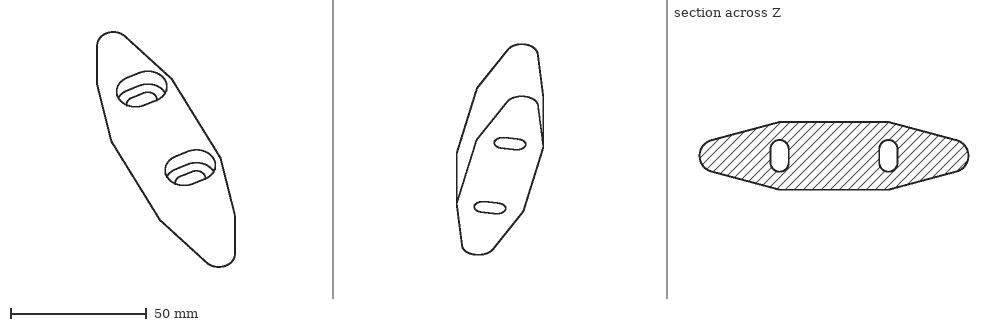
import cadquery as cq
import math

width = 25.0
height = 25.0
end_radius = 6.0
taper_angle = 15.0
shoulder_radius = 1.0
top_fillet = 2.0

slot_spacing = 40.0
slot_travel = 5.0
slot_width = 6.6
counterbore_width = 14.0
counterbore_depth = 8.0

taper = math.radians(taper_angle)
shoulder_x = slot_spacing / 2
shoulder_y = width / 2
end_center_x = shoulder_x + (shoulder_y * math.cos(taper) - end_radius) / math.sin(taper)
tip_x = end_center_x + end_radius
tangent_x = end_center_x + end_radius * math.sin(taper)
tangent_y = end_radius * math.cos(taper)


def make_body():
    """Extrude the outline, then round the four shoulders and the top rim."""
    body = (
        cq.Workplane("XY")
        .moveTo(-shoulder_x, shoulder_y)
        .lineTo(shoulder_x, shoulder_y)
        .lineTo(tangent_x, tangent_y)
        .threePointArc((tip_x, 0), (tangent_x, -tangent_y))
        .lineTo(shoulder_x, -shoulder_y)
        .lineTo(-shoulder_x, -shoulder_y)
        .lineTo(-tangent_x, -tangent_y)
        .threePointArc((-tip_x, 0), (-tangent_x, tangent_y))
        .close()
        .extrude(height)
    )
    between_ends = cq.selectors.BoxSelector(
        (-end_center_x, -width, 0),
        (end_center_x, width, height),
    )
    body = body.edges("|Z").edges(between_ends).fillet(shoulder_radius)
    return body.faces(">Z").edges().fillet(top_fillet)


def cut_slots(body, slot_diameter, depth):
    """Cut both slots down from the top face; the length runs along Y."""
    cutter = (
        cq.Workplane("XY")
        .workplane(offset=height)
        .pushPoints([(-shoulder_x, 0), (shoulder_x, 0)])
        .slot2D(slot_travel + slot_diameter, slot_diameter, angle=90)
        .extrude(-depth)
    )
    return body.cut(cutter)


result = make_body()
result = cut_slots(result, counterbore_width, counterbore_depth)
result = cut_slots(result, slot_width, height)